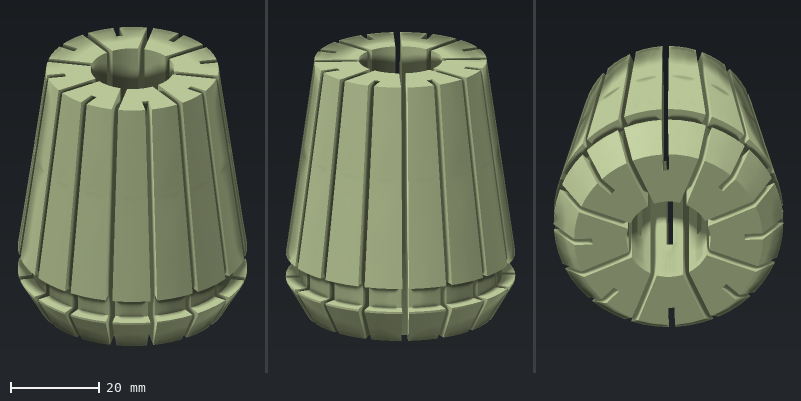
import cadquery as cq
import math

length = 60.0
max_radius = 26.0
bore_radius = 9.5

nose_angle = 30.0
nose_height = 8.0
groove_bottom = 8.5
groove_top = 14.0
groove_radius = 23.0
taper_angle = 8.0

nose_radius = max_radius - nose_height * math.tan(math.radians(nose_angle))
top_radius = max_radius - (length - groove_top) * math.tan(math.radians(taper_angle))

slot_width = 1.5
slots_per_end = 8
slot_pitch = 360.0 / slots_per_end
saw_radius = 35.0
saw_overcut = 0.5
bottom_saw_height = 39.65
top_saw_height = 22.6
slot_clearance = 1.0


def make_body():
    """Revolve half of the cross-section, bore included, around Z."""
    return (
        cq.Workplane("XZ")
        .moveTo(bore_radius, 0)
        .lineTo(nose_radius, 0)
        .lineTo(max_radius, nose_height)
        .lineTo(max_radius, groove_bottom)
        .lineTo(groove_radius, groove_bottom)
        .lineTo(groove_radius, groove_top)
        .lineTo(max_radius, groove_top)
        .lineTo(top_radius, length)
        .lineTo(bore_radius, length)
        .close()
        .revolve(360, (0, 0), (0, 1))
    )


def make_slot(entry_height, saw_height, exit_height):
    """Slot along +X: straight through to the bore from the entry face to the saw
    centre, then a floor that follows the saw's rim outwards to the exit face."""
    floor_radius = bore_radius - saw_overcut
    saw_centre_radius = floor_radius + saw_radius
    outer_radius = max_radius + slot_clearance
    exit_angle = math.asin((exit_height - saw_height) / saw_radius)

    def rim_point(angle):
        return (
            saw_centre_radius - saw_radius * math.cos(angle),
            saw_height + saw_radius * math.sin(angle),
        )

    return (
        cq.Workplane("XZ")
        .moveTo(outer_radius, entry_height)
        .lineTo(floor_radius, entry_height)
        .lineTo(floor_radius, saw_height)
        .threePointArc(rim_point(exit_angle / 2), rim_point(exit_angle))
        .lineTo(outer_radius, exit_height)
        .close()
        .extrude(slot_width / 2, both=True)
    )


def cut_slots(body, slot, first_angle):
    """Cut one ring of equally spaced slots around Z."""
    for index in range(slots_per_end):
        angle = first_angle + index * slot_pitch
        body = body.cut(slot.rotate((0, 0, 0), (0, 0, 1), angle))
    return body


bottom_slot = make_slot(0, bottom_saw_height, length)
top_slot = make_slot(length, top_saw_height, 0)

collet = make_body()
collet = cut_slots(collet, bottom_slot, 0)
result = cut_slots(collet, top_slot, slot_pitch / 2)